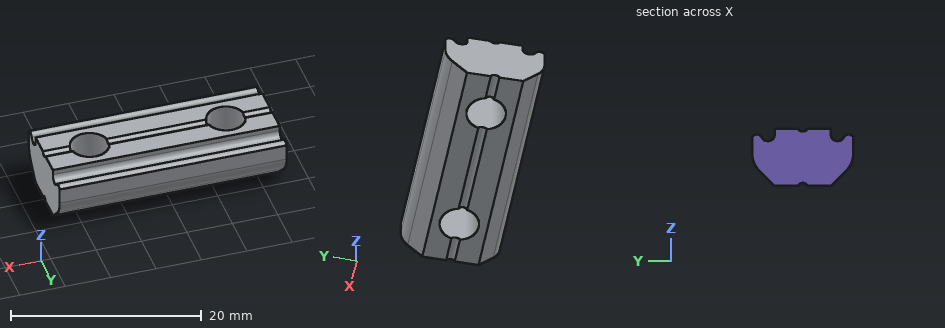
import cadquery as cq
import math

length = 25.0
width = 10.6
height = 6.0

neck_width = 5.9
gutter_radius = 0.7
gutter_floor_z = 4.7
lip_radius = 0.6
lip_top_z = 5.4

base_width = 6.0
flank_radius = 2.5
flank_angle = math.radians(45)

groove_radius = 0.5
groove_depth = 0.3

hole_diameter = 4.13
hole_spacing = 15.0

half_width = width / 2
half_neck = neck_width / 2
half_base = base_width / 2


def point_on_circle(center, radius, angle):
    """Point at an angle, in radians, counted from the first axis."""
    return (
        center[0] + radius * math.cos(angle),
        center[1] + radius * math.sin(angle),
    )


def make_half_body():
    """The +Y half of the body: its cross-section, in (Y, Z) points, extruded along X."""
    flank_end_y = half_width - flank_radius * (1 - math.cos(flank_angle))
    flank_end_z = (flank_end_y - half_base) / math.tan(flank_angle)
    flank_center = (half_width - flank_radius, flank_end_z + flank_radius * math.sin(flank_angle))
    flank_middle = point_on_circle(flank_center, flank_radius, -flank_angle / 2)

    gutter_center = (half_neck + gutter_radius, gutter_floor_z + gutter_radius)
    lip_center_z = lip_top_z - lip_radius
    center_drop = gutter_center[1] - lip_center_z
    center_shift = math.sqrt((gutter_radius + lip_radius) ** 2 - center_drop ** 2)
    lip_center = (gutter_center[0] + center_shift, lip_center_z)
    joint_angle = -math.atan2(center_drop, center_shift)
    joint = point_on_circle(gutter_center, gutter_radius, joint_angle)
    gutter_bottom = (gutter_center[0], gutter_floor_z)
    lip_crest = (lip_center[0], lip_top_z)
    lip_reach = half_width - lip_center[0]
    lip_edge_z = lip_center_z + math.sqrt(lip_radius ** 2 - lip_reach ** 2)

    return (
        cq.Workplane("YZ")
        .moveTo(0, 0)
        .lineTo(half_base, 0)
        .lineTo(flank_end_y, flank_end_z)
        .threePointArc(flank_middle, (half_width, flank_center[1]))
        .lineTo(half_width, lip_edge_z)
        .threePointArc(lip_crest, joint)
        .threePointArc(gutter_bottom, (half_neck, gutter_center[1]))
        .lineTo(half_neck, height)
        .lineTo(0, height)
        .close()
        .extrude(length / 2, both=True)
    )


def groove_cutter(face_z):
    """Round bar that cuts a groove of the chosen radius and depth into a face at face_z."""
    offset = math.copysign(groove_radius - groove_depth, face_z - height / 2)
    return (
        cq.Workplane("YZ")
        .center(0, face_z + offset)
        .circle(groove_radius)
        .extrude(length / 2, both=True)
    )


def hole_cutters():
    """Two vertical pins through the full height."""
    return (
        cq.Workplane("XY")
        .pushPoints([(-hole_spacing / 2, 0), (hole_spacing / 2, 0)])
        .circle(hole_diameter / 2)
        .extrude(height)
    )


half_body = make_half_body()
body = half_body.union(half_body.mirror("XZ")).clean()
for face_z in (0, height):
    body = body.cut(groove_cutter(face_z))
result = body.cut(hole_cutters())